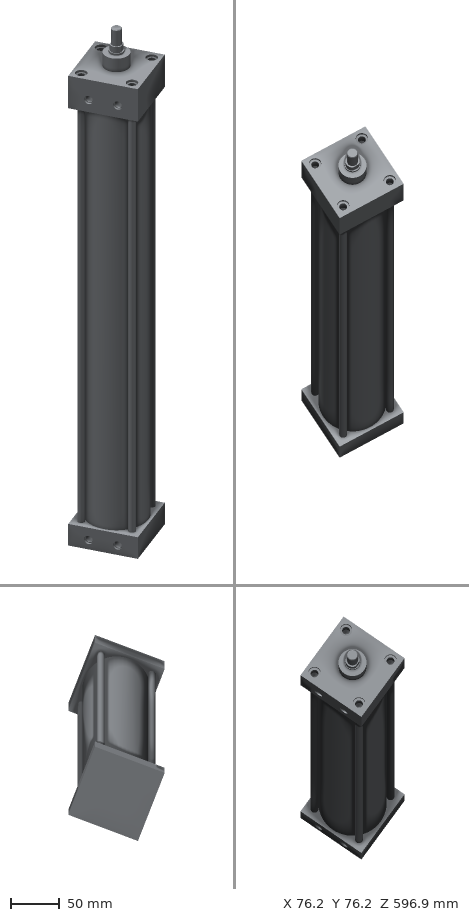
import cadquery as cq
import math

INCH = 25.4

total_length = 23.5 * INCH
cap_height = 1.0 * INCH
head_height = 1.5 * INCH
rod_end_reach = 1.75 * INCH
head_top = total_length - rod_end_reach
head_bottom = head_top - head_height

block_side = 3.0 * INCH
barrel_diameter = 2.75 * INCH
tie_rod_diameter = 0.3125 * INCH
tie_rod_spacing = 2.19 * INCH

gland_diameter = 1.875 * INCH
boss_diameter = 1.125 * INCH
boss_height = 0.625 * INCH
boss_top = head_top + boss_height

rod_diameter = 0.625 * INCH
wrench_diameter = 0.5625 * INCH
wrench_width = 0.5 * INCH
wrench_length = 0.28 * INCH
thread_diameter = 0.4375 * INCH
thread_length = 0.75 * INCH
tip_chamfer = 0.03 * INCH
thread_bottom = total_length - thread_length
wrench_bottom = thread_bottom - wrench_length

drill_diameter = 0.3125 * INCH
drill_depth = 0.5 * INCH
drill_point_angle = 118.0
counterbore_depth = 0.1 * INCH
side_counterbore = 0.375 * INCH
corner_counterbore = 0.5 * INCH

side_hole_spacing = 1.25 * INCH
cap_hole_z = 0.4375 * INCH
head_hole_z = head_bottom + 0.5625 * INCH


def disc(diameter, z_low, z_high):
    """Cylinder on the main axis between two heights."""
    base = cq.Workplane("XY", origin=(0, 0, z_low))
    return base.circle(diameter / 2).extrude(z_high - z_low)


def end_block(z_low, z_high):
    """Square block centred on the main axis."""
    base = cq.Workplane("XY", origin=(0, 0, z_low))
    return base.rect(block_side, block_side).extrude(z_high - z_low)


def tie_rods():
    """Four rods joining the two end blocks at their corners."""
    base = cq.Workplane("XY", origin=(0, 0, cap_height))
    corners = base.rect(tie_rod_spacing, tie_rod_spacing, forConstruction=True).vertices()
    return corners.circle(tie_rod_diameter / 2).extrude(head_bottom - cap_height)


def hole_cutter(counterbore_diameter):
    """Counterbored hole going down from the origin along -Z."""
    wide = counterbore_diameter / 2
    narrow = drill_diameter / 2
    point_length = narrow / math.tan(math.radians(drill_point_angle / 2))
    profile = [
        (0, 0),
        (wide, 0),
        (wide, -counterbore_depth),
        (narrow, -counterbore_depth),
        (narrow, -drill_depth),
        (0, -drill_depth - point_length),
    ]
    return cq.Workplane("XZ").polyline(profile).close().revolve(360, (0, 0, 0), (0, 1, 0))


def make_housing():
    """Cap, head, barrel and tie rods in one piece, with its holes and the gland recess."""
    housing = end_block(0, cap_height)
    housing = housing.union(end_block(head_bottom, head_top))
    housing = housing.union(disc(barrel_diameter, cap_height, head_bottom))
    housing = housing.union(tie_rods())
    housing = housing.cut(disc(gland_diameter, head_bottom, head_top))

    side_cutter = hole_cutter(side_counterbore).rotate((0, 0, 0), (1, 0, 0), 90)
    for z in (cap_hole_z, head_hole_z):
        for side in (-1, 1):
            place = (side * side_hole_spacing / 2, -block_side / 2, z)
            housing = housing.cut(side_cutter.translate(place))

    corner_cutter = hole_cutter(corner_counterbore)
    for x_side in (-1, 1):
        for y_side in (-1, 1):
            place = (x_side * tie_rod_spacing / 2, y_side * tie_rod_spacing / 2, head_top)
            housing = housing.cut(corner_cutter.translate(place))
    return housing


def make_rod():
    """Gland with its boss, and the stepped rod end above it."""
    rod = disc(gland_diameter, head_bottom, head_top)
    rod = rod.union(disc(boss_diameter, head_top, boss_top))
    rod = rod.union(disc(rod_diameter, boss_top, wrench_bottom))

    flats = cq.Workplane("XY", origin=(0, 0, wrench_bottom))
    flats = flats.rect(wrench_width, wrench_diameter).extrude(wrench_length)
    rod = rod.union(disc(wrench_diameter, wrench_bottom, thread_bottom).intersect(flats))

    tip = disc(thread_diameter, thread_bottom, total_length)
    return rod.union(tip.faces(">Z").chamfer(tip_chamfer))


housing = make_housing()
rod = make_rod()

result = cq.Compound.makeCompound([housing.solids().val(), rod.solids().val()])